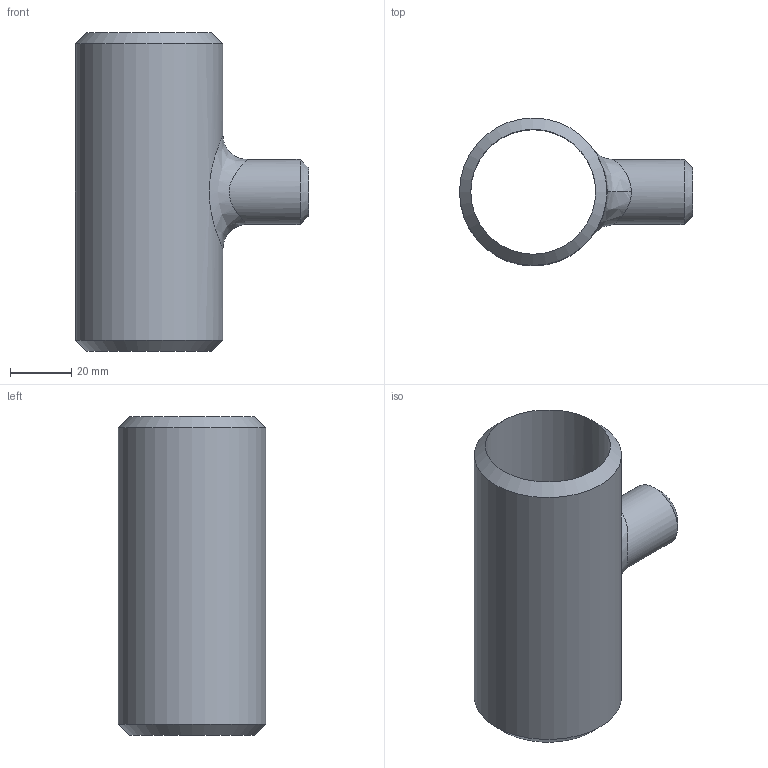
import cadquery as cq

run_diameter = 48.3
run_wall = 3.68
run_length = 104.4

branch_diameter = 21.3
branch_wall = 2.77
branch_reach = run_length / 2

run_bevel = run_wall
branch_bevel = branch_wall

junction_radius = 8.0

selection_margin = 1.0

run_radius = run_diameter / 2
branch_radius = branch_diameter / 2


def make_run():
    """Solid run cylinder, bevelled at both ends."""
    cylinder = cq.Workplane("XY").circle(run_radius).extrude(run_length / 2, both=True)
    return cylinder.edges("%CIRCLE").chamfer(run_bevel)


def make_branch():
    """Solid branch cylinder from the run axis outward, bevelled at its free end."""
    cylinder = cq.Workplane("YZ").circle(branch_radius).extrude(branch_reach)
    return cylinder.faces(">X").edges().chamfer(branch_bevel)


def blend_junction(body):
    """Round the saddle curve where the branch meets the run."""
    half_width = branch_radius + selection_margin
    saddle_zone = cq.selectors.BoxSelector(
        (0, -half_width, -half_width),
        (run_radius + selection_margin, half_width, half_width),
        boundingbox=True,
    )
    return body.edges(saddle_zone).fillet(junction_radius)


def cut_bores(body):
    """Bore the run from end to end, and the branch through into the run."""
    run_bore = cq.Workplane("XY").circle(run_radius - run_wall).extrude(run_length / 2, both=True)
    branch_bore = cq.Workplane("YZ").circle(branch_radius - branch_wall).extrude(branch_reach)
    return body.cut(run_bore).cut(branch_bore)


solid_tee = make_run().union(make_branch())
blended_tee = blend_junction(solid_tee)
result = cut_bores(blended_tee)